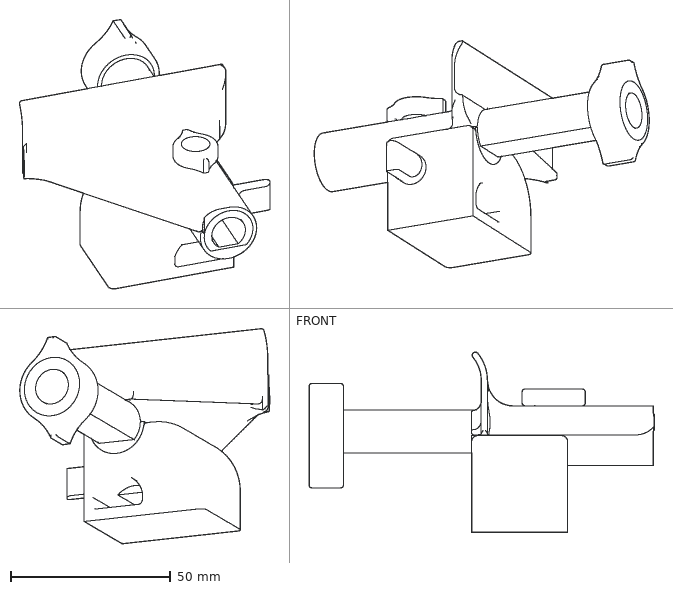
import cadquery as cq
import math


axis_z = 30.3

block_length = 30.15
block_y_back = 11.15
block_y_front = -29.95
block_round = 18.0
block_edge_fillet = 1.9

window_arch_radius = 8.76
window_arch_z = 5.4
window_half_width = 8.45
window_floor_z = 3.87
window_corner_radius = 1.3
window_rim_fillet = 1.0
window_ceiling_z = 11.7
window_step_depth = 15.0

hub_radius = 9.37
hub_length = 57.0

tube_radius = 8.1
tube_flat_drop = 5.5
tube_bore_radius = 5.6
tube_bore_flat_drop = 4.6
tube_thread_radius = 9.45

knob_x = -51.0
knob_thickness = 10.85
knob_body_radius = 11.4
knob_tip_reach = 16.4
knob_tip_half_width = 1.3
knob_turn = 1.9
wing_start_angle = 53.0
wing_edge_fillet = 1.0

fence_clearance = 0.25
wall_x = 3.0
wall_thickness = 2.0
wall_y_back = 18.2
wall_y_front = -49.86
wall_corner_radius = 2.9
lip_curl_radius = 11.35
lip_curl_angle = 39.6
wall_low_corner_back = 7.2
wall_low_corner_front = 1.8
wall_edge_fillet = 0.9
wall_top_corner = 1.6

ledge_front_z = 37.6
ledge_edge = 0.6
ledge_foot_fillet = 0.7
ledge_hollow_radius = 3.0
ledge_slope = 8.0
ledge_slope_y = -4.5
ledge_y_front = -48.6

plate_tip_x = 57.38
plate_front_setback = 0.4
plate_slant = 37.8
plate_top_fillet = 5.0
plate_bottom_fillet = 3.3
plate_tip_strip = 0.7
flare_radius = 8.0

stud_x = 25.75
stud_radius = 4.5
nut_thickness = 5.3
nut_body_radius = 7.1
nut_tip_reach = 9.95
nut_tip_half_width = 0.9

screw_x = 21.5
screw_z = 18.84
screw_collar_radius = 4.925
screw_collar_length = 2.8
screw_blade_thickness = 4.25
screw_reach = 15.0
screw_flare_radius = 3.2
screw_shank_radius = 4.15
screw_shank_length = 4.0

selection_margin = 0.5

wall_back_x = wall_x + wall_thickness
fence_z = axis_z + fence_clearance
plate_top_z = axis_z + hub_radius
fence_height = plate_top_z - fence_z
wall_straight_top = plate_top_z + flare_radius
slant_slope = math.tan(math.radians(plate_slant))
slant_direction = (math.cos(math.radians(plate_slant)), math.sin(math.radians(plate_slant)), 0)
slant_normal = (slant_direction[1], -slant_direction[0], 0)
plate_tip_y = wall_y_front + plate_front_setback + (plate_tip_x - wall_back_x) * slant_slope


def rod(radius, x_start, x_end):
    """Round bar on the tube axis."""
    return (cq.Workplane("YZ", origin=(x_start, 0, axis_z))
            .circle(radius).extrude(x_end - x_start))


def flatted_rod(radius, flat_drop, x_start, x_end):
    """Bar on the tube axis with a flat along its underside."""
    keep = cq.Workplane("XY").box(
        x_end - x_start, 2 * radius, radius + flat_drop, centered=(False, True, False)
    ).translate((x_start, 0, axis_z - flat_drop))
    return rod(radius, x_start, x_end).intersect(keep)


def wing_arc_middle(start, direction, end):
    """Middle of the arc that leaves start along the unit direction and reaches end."""
    dx = end[0] - start[0]
    dy = end[1] - start[1]
    chord = math.hypot(dx, dy)
    turn = math.atan2(dy, dx) - math.atan2(direction[1], direction[0])
    sagitta = chord / 2 * math.tan(turn / 2)
    return ((start[0] + end[0]) / 2 + dy / chord * sagitta,
            (start[1] + end[1]) / 2 - dx / chord * sagitta)


def two_wing_outline(plane, body_radius, tip_reach, tip_half_width):
    """Round outline drawn out into two opposite wings along the plane's y direction."""
    angle = math.radians(wing_start_angle)
    start = (body_radius * math.cos(angle), body_radius * math.sin(angle))
    tip = (tip_half_width, tip_reach)
    middle = wing_arc_middle(start, (-math.sin(angle), math.cos(angle)), tip)

    def mirrored(point, sx, sy):
        return (sx * point[0], sy * point[1])

    return (plane.moveTo(*mirrored(start, 1, -1))
            .threePointArc((body_radius, 0), start)
            .threePointArc(middle, tip)
            .lineTo(*mirrored(tip, -1, 1))
            .threePointArc(mirrored(middle, -1, 1), mirrored(start, -1, 1))
            .threePointArc((-body_radius, 0), mirrored(start, -1, -1))
            .threePointArc(mirrored(middle, -1, -1), mirrored(tip, -1, -1))
            .lineTo(*mirrored(tip, 1, -1))
            .threePointArc(mirrored(middle, 1, -1), mirrored(start, 1, -1))
            .close())


def window_cutter():
    """Arched opening through the block, with a flat floor."""
    spring_z = window_arch_z + math.sqrt(window_arch_radius ** 2 - window_half_width ** 2)
    cutter = (cq.Workplane("YZ")
              .moveTo(-window_half_width, window_floor_z)
              .lineTo(window_half_width, window_floor_z)
              .lineTo(window_half_width, spring_z)
              .threePointArc((0, window_arch_z + window_arch_radius), (-window_half_width, spring_z))
              .close().extrude(block_length))
    return cutter.edges("|X").edges("<Z").fillet(window_corner_radius)


def make_block():
    margin = selection_margin
    block = (cq.Workplane("YZ")
             .moveTo(block_y_back, 0)
             .lineTo(block_y_back, axis_z)
             .lineTo(block_y_front + block_round, axis_z)
             .radiusArc((block_y_front, axis_z - block_round), -block_round)
             .lineTo(block_y_front, 0)
             .close().extrude(block_length))
    outer_edges = cq.selectors.BoxSelector(
        (-margin, block_y_front - margin, margin),
        (block_length + margin, block_y_back - margin, axis_z + margin))
    block = block.edges(outer_edges).edges("#X").fillet(block_edge_fillet)

    window = window_cutter()
    block = block.cut(window)
    rim_edges = cq.selectors.BoxSelector(
        (-margin, -window_half_width - margin, window_floor_z - margin),
        (margin, window_half_width + margin, window_arch_z + window_arch_radius + margin))
    block = block.faces("<X").edges(rim_edges).fillet(window_rim_fillet)

    lintel = (cq.Workplane("XY", origin=(window_step_depth, 0, window_ceiling_z))
              .box(block_length - window_step_depth, 2 * window_arch_radius, window_arch_radius,
                   centered=(False, True, False)))
    block = block.union(lintel.intersect(window))
    return block.cut(rod(hub_radius, 0, block_length)).cut(screw_shank())


def make_wall():
    """Upright wall whose top curls forward."""
    angle = math.radians(lip_curl_angle)
    centre_x = wall_x - lip_curl_radius
    outer_radius = lip_curl_radius + wall_thickness
    middle_radius = lip_curl_radius + wall_thickness / 2

    def on_curl(radius, turn, along=0):
        return (centre_x + radius * math.cos(turn) - along * math.sin(turn),
                wall_straight_top + radius * math.sin(turn) + along * math.cos(turn))

    wall = (cq.Workplane("XZ", origin=(0, wall_y_back, 0))
            .moveTo(wall_x, fence_z)
            .lineTo(wall_back_x, fence_z)
            .lineTo(wall_back_x, wall_straight_top)
            .threePointArc(on_curl(outer_radius, angle / 2), on_curl(outer_radius, angle))
            .threePointArc(on_curl(middle_radius, angle, wall_thickness / 2),
                           on_curl(lip_curl_radius, angle))
            .threePointArc(on_curl(lip_curl_radius, angle / 2), (wall_x, wall_straight_top))
            .close().extrude(wall_y_back - wall_y_front))
    return wall.faces("<Y").edges("not <Z").fillet(wall_edge_fillet)


def ledge_profile(plane, depth):
    """Section of the ledge: a low front face, a rounded edge and a hollow up to the wall."""
    top = ledge_front_z + ledge_edge
    hollow_width = wall_x - ledge_edge
    hollow_rise = math.sqrt(ledge_hollow_radius ** 2 - (ledge_hollow_radius - hollow_width) ** 2)
    return (plane.moveTo(0, ledge_front_z)
            .radiusArc((ledge_edge, top), ledge_edge)
            .radiusArc((wall_x, top + hollow_rise), -ledge_hollow_radius)
            .lineTo(wall_x, ledge_front_z - depth)
            .lineTo(0, ledge_front_z - depth)
            .close())


def make_ledge():
    """Ledge along the foot of the wall, falling away toward the front end."""
    level_length = wall_y_back - ledge_slope_y
    level = ledge_profile(cq.Workplane("XZ", origin=(0, wall_y_back, 0)), ledge_front_z - fence_z)
    level = level.extrude(level_length)

    run = ledge_slope_y - wall_y_front
    start = (0, ledge_slope_y + run / 2, 0)
    sloping = ledge_profile(cq.Workplane("XZ", origin=start), ledge_front_z).extrude(2 * run)
    pivot = (0, ledge_slope_y, ledge_front_z)
    pivot_end = (1, ledge_slope_y, ledge_front_z)
    sloping = sloping.rotate(pivot, pivot_end, ledge_slope)
    sloping_plan = (cq.Workplane("XY", origin=(0, 0, fence_z))
                    .moveTo(wall_x, ledge_slope_y)
                    .lineTo(0, ledge_slope_y)
                    .lineTo(0, ledge_y_front + wall_x)
                    .radiusArc((wall_x, ledge_y_front), -wall_x)
                    .close().extrude(wall_straight_top - fence_z))
    return level.union(sloping.intersect(sloping_plan))


def fence_side_limits():
    """Side outline of the wall: rounded lower corners and a rounded top back corner."""
    angle = math.radians(lip_curl_angle)
    middle_radius = lip_curl_radius + wall_thickness / 2
    top_z = wall_straight_top + middle_radius * math.sin(angle) + wall_thickness / 2
    depth = wall_back_x + flare_radius
    side = (cq.Workplane("XY", origin=(-depth, wall_y_front, fence_z))
            .box(2 * depth, wall_y_back - wall_y_front, top_z - fence_z, centered=False))
    side = side.edges("|X and <Z and >Y").fillet(wall_low_corner_back)
    side = side.edges("|X and >Z and >Y").fillet(wall_top_corner)
    return side.edges("|X and <Z and <Y").fillet(wall_low_corner_front)


def fence_plan_limits():
    """Plan outline of the wall, with its back corner and the ledge's foot rounded."""
    plan = (cq.Workplane("XY", origin=(0, wall_y_front, fence_z))
            .box(wall_back_x, wall_y_back - wall_y_front, 2 * wall_straight_top, centered=False))
    plan = plan.edges("|Y and <X and <Z").fillet(ledge_foot_fillet)
    return plan.edges("|Z and >X and >Y").fillet(wall_corner_radius)


def make_plate():
    """Flat plate beside the hub, with a slanted and rounded outer edge."""
    wall_end_y = plate_tip_y - (plate_tip_x - wall_x) * slant_slope
    plate = (cq.Workplane("XY", origin=(0, 0, fence_z))
             .moveTo(wall_x, 0)
             .lineTo(plate_tip_x, 0)
             .lineTo(plate_tip_x, plate_tip_y)
             .lineTo(wall_x, wall_end_y)
             .close().extrude(fence_height))
    slanted_face = cq.selectors.DirectionMinMaxSelector(cq.Vector(*slant_normal))
    plate = plate.faces(slanted_face).edges(">Z").fillet(plate_top_fillet)
    along_slant = cq.selectors.ParallelDirSelector(cq.Vector(*slant_direction))
    plate = plate.edges(along_slant).edges("<Z").fillet(plate_bottom_fillet)
    end_trim = (cq.Workplane("XY", origin=(hub_length, plate_tip_y + plate_tip_strip, fence_z))
                .box(hub_radius, wall_y_back - plate_tip_y, fence_height, centered=False))
    return plate.cut(end_trim)


def make_flared_plate():
    """Plate blended into the wall by a hollow round along its top and slanted edge."""
    backing_width = 2 * (wall_y_back - wall_y_front)
    backing = (cq.Workplane("XY")
               .box(wall_thickness, backing_width, 2 * wall_straight_top, centered=(False, True, False))
               .translate((wall_x, 0, fence_z)))
    blended = backing.union(make_plate())
    foot_edges = cq.selectors.BoxSelector(
        (wall_back_x - selection_margin, wall_y_front, fence_z + plate_bottom_fillet / 2),
        (wall_back_x + selection_margin, 0, plate_top_z + selection_margin))
    blended = blended.edges(foot_edges).fillet(flare_radius)
    keep = (cq.Workplane("XY", origin=(wall_back_x, wall_y_front, fence_z))
            .box(plate_tip_x, -wall_y_front, 2 * hub_radius, centered=False))
    return blended.intersect(keep)


def make_hub_flare():
    """Hollow round between the outer quarter of the hub and the wall."""
    flare_end_x = wall_back_x + flare_radius
    inner = hub_radius / 2
    flare = (cq.Workplane("XZ")
             .moveTo(wall_back_x, inner)
             .lineTo(flare_end_x, inner)
             .lineTo(flare_end_x, hub_radius)
             .radiusArc((wall_back_x, hub_radius + flare_radius), flare_radius)
             .close()
             .revolve(90, (0, 0, 0), (-1, 0, 0))
             .translate((0, 0, axis_z)))
    keep = (cq.Workplane("XY", origin=(wall_back_x, 0, fence_z))
            .box(flare_radius, wall_y_back - wall_corner_radius, 2 * hub_radius, centered=False))
    return flare.intersect(keep).intersect(fence_side_limits())


def make_hub():
    """Sleeve around the tube: its lower half fills the block's channel from the front face."""
    channel_half = rod(hub_radius, 0, wall_x).intersect(
        cq.Workplane("XY").box(4 * wall_x, 4 * hub_radius, axis_z, centered=(True, True, False)))
    return rod(hub_radius, wall_x, hub_length).union(channel_half)


def make_fence():
    wall = make_wall().union(make_ledge())
    wall = wall.intersect(fence_side_limits()).intersect(fence_plan_limits())
    fence = wall.union(make_flared_plate()).union(make_hub()).union(make_hub_flare())
    return fence.cut(flatted_rod(tube_radius, tube_flat_drop, 0, hub_length)).cut(make_stud())


def make_tube():
    """Flatted tube with a round threaded end for the knob."""
    knob_end_x = knob_x + knob_thickness
    tube = rod(tube_thread_radius, knob_x, knob_end_x)
    tube = tube.union(flatted_rod(tube_radius, tube_flat_drop, knob_end_x, hub_length))
    tube = tube.cut(rod(tube_bore_radius, knob_x, knob_end_x))
    return tube.cut(flatted_rod(tube_bore_radius, tube_bore_flat_drop, knob_end_x, hub_length))


def make_knob():
    plane = cq.Workplane("YZ", origin=(knob_x, 0, axis_z))
    knob = two_wing_outline(plane, knob_body_radius, knob_tip_reach, knob_tip_half_width)
    knob = knob.extrude(knob_thickness).faces("<X or >X").edges().fillet(wing_edge_fillet)
    knob = knob.rotate((0, 0, axis_z), (1, 0, axis_z), -knob_turn)
    return knob.cut(rod(tube_thread_radius, knob_x, knob_x + knob_thickness))


def make_stud():
    """Stud standing on the tube and ending flush with the nut."""
    stud = (cq.Workplane("XY", origin=(stud_x, 0, axis_z))
            .circle(stud_radius).extrude(hub_radius + nut_thickness))
    return stud.cut(rod(tube_radius, 0, hub_length))


def make_nut():
    plane = cq.Workplane(cq.Plane((stud_x, 0, plate_top_z), xDir=(0, 1, 0), normal=(0, 0, 1)))
    nut = two_wing_outline(plane, nut_body_radius, nut_tip_reach, nut_tip_half_width)
    nut = nut.extrude(nut_thickness).faces("<Z or >Z").edges().fillet(wing_edge_fillet)
    return nut.cut(make_stud())


def screw_shank():
    return (cq.Workplane("XZ", origin=(screw_x, block_y_back, screw_z))
            .circle(screw_shank_radius).extrude(screw_shank_length))


def make_thumb_screw():
    """Screw in the block's back face, with a round collar and a flat thumb blade."""
    collar_y = block_y_back + screw_collar_length
    tip_y = block_y_back + screw_reach
    half = screw_blade_thickness / 2
    collar = (cq.Workplane("XZ", origin=(screw_x, block_y_back, screw_z))
              .circle(screw_collar_radius).extrude(-screw_reach))
    flare_half = half + screw_flare_radius
    blade = (cq.Workplane("XY", origin=(screw_x, 0, screw_z - screw_collar_radius))
             .moveTo(-flare_half, block_y_back)
             .lineTo(-flare_half, collar_y)
             .radiusArc((-half, collar_y + screw_flare_radius), -screw_flare_radius)
             .lineTo(-half, tip_y - half)
             .threePointArc((0, tip_y), (half, tip_y - half))
             .lineTo(half, collar_y + screw_flare_radius)
             .radiusArc((flare_half, collar_y), -screw_flare_radius)
             .lineTo(flare_half, block_y_back)
             .close().extrude(2 * screw_collar_radius))
    return blade.intersect(collar).union(screw_shank())


result = cq.Compound.makeCompound([
    make_block().val(),
    make_fence().val(),
    make_tube().val(),
    make_knob().val(),
    make_stud().val(),
    make_nut().val(),
    make_thumb_screw().val(),
])